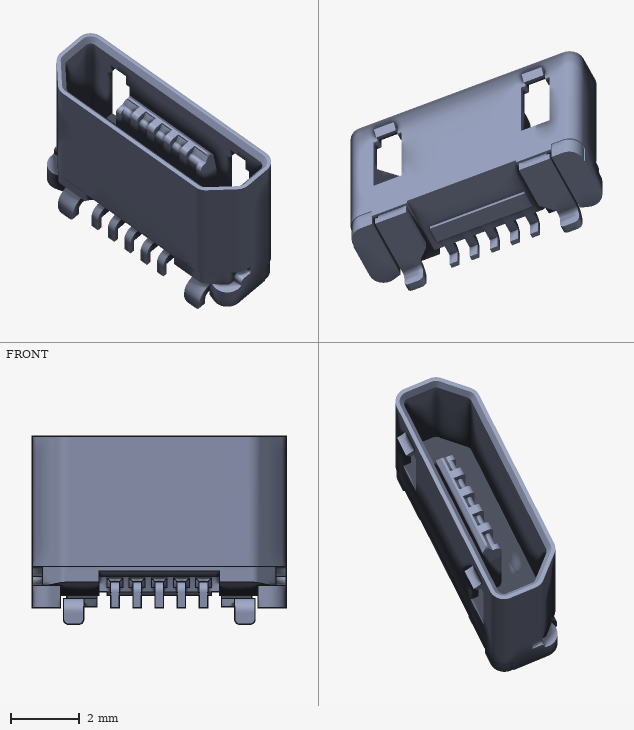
import cadquery as cq
import math


HALF_WIDTH = 3.71
DEPTH = 2.345
SHELL_TOP = 5.01
SHELL_CHAMFER = 0.905
CORNER_RADIUS = 0.445
WALL = 0.25
MOUTH_WIDENING = 0.13
MOUTH_HEIGHT = 0.17
SKIRT_Z = 1.21
BASE_BOTTOM = 0.36
FLOOR_Z = 1.485

PLATFORM_HALF_WIDTH = 2.99
PLATFORM_BACK = -0.5
PLATFORM_DEPTH = 1.1
PLATFORM_CHAMFER = 0.52
PLATFORM_CORNER = 0.185
PLATFORM_HEIGHT = 0.075

CORE_HALF_WIDTH = 3.405
CORE_INSET = 0.03
CORE_CHAMFER = 0.585
CORE_FRONT_RADIUS = 0.22
CORE_SIDE_RADIUS = 0.13
UNDERCUT_TOP = 0.75
UNDERCUT_SLOPE = 12.0
NOTCH_BACK = -1.14
NOTCH_STEP_Y = -1.55
NOTCH_STEP_Z = 0.92
NOTCH_BACK_RADIUS = 0.075
NOTCH_STEP_RADIUS = 0.13
NOTCH_FOOT_RADIUS = 0.05
CHEEK_BACK = -0.59
CHEEK_FRONT = -1.67

FOOT_HEIGHT = 0.65
FOOT_INNER_X = 2.88
FOOT_FRONT_INNER = -2.02
FOOT_FRONT_OUTER = -2.28
FOOT_BACK = -0.02
FOOT_RELIEF_HEIGHT = 0.62
FOOT_RELIEF_FRONT = -0.54
FOOT_RELIEF_ROUND = 0.09

CONTACT_COUNT = 5
CONTACT_PITCH = 0.645
CONTACT_XS = [(i - (CONTACT_COUNT - 1) / 2) * CONTACT_PITCH for i in range(CONTACT_COUNT)]
CONTACT_WIDTH = 0.25
CONTACT_FRONT = -2.42
CONTACT_THICKNESS = 0.15
CONTACT_BEND = 0.305
CONTACT_UNDERSIDE = 0.45
CONTACT_TAIL_Y = -1.63
RECESS_HALF_WIDTH = 1.75
RECESS_TOP = 1.08
RECESS_FACE = -1.94
RECESS_CEILING_BACK_Z = 0.91
RECESS_BOTTOM = 0.47
ROOT_WIDTH = 0.46
ROOT_TOP = 0.87
ROOT_BOTTOM = 0.6
TAIL_BAR_HALF_WIDTH = 1.52
TAIL_BAR_FRONT = -1.63
TAIL_BAR_BACK = -1.11

LEG_OUTER_X = 2.8
LEG_WIDTH = 0.6
LEG_FRONT = -2.37
LEG_BEND_Z = -0.14
LEG_OUTER_BEND = 0.42
LEG_TIP_Z = -0.48
LEG_TIP_RADIUS = 0.16
PLATE_INNER_X = 1.81
PLATE_FRONT = -1.86
PLATE_BACK = -0.075
SUPPORT_FRONT = -0.48
PLATE_SUPPORT_OUTER_X = 2.7

LATCH_X = 2.37
LATCH_WIDTH = 0.63
LATCH_ROOT_Z = 4.42
LATCH_TIP = (0.26, 4.275)
LATCH_TIP_LOWER = (0.11, 4.06)
WINDOW_WIDTH = 0.905
WINDOW_STEP_Z = 4.02
WINDOW_BOTTOM = 1.855

TONGUE_HALF_WIDTH = 1.75
TONGUE_TOP_HALF_WIDTH = 1.485
TONGUE_TOP = 4.19
TONGUE_BACK = -0.5
TONGUE_FRONT = -1.09
TONGUE_END_HEIGHT = 0.67
TONGUE_END_ROUND = 0.15
TONGUE_BACK_CHAMFER = 0.15
TONGUE_FRONT_ROUND = 0.16
TONGUE_FRONT_CHAMFER = 0.08
GROOVE_WIDTH = 0.4
GROOVE_BACK = -0.71
TIP_BACK = -0.83
TIP_FRONT = -1.0
GROOVE_STEP = 0.06
TIP_DROP = 0.22
TIP_ROUND = 0.15


def box(x_range, y_range, z_range):
    """Box spanning the given ranges."""
    (x0, x1), (y0, y1), (z0, z1) = x_range, y_range, z_range
    return cq.Workplane("XY").box(x1 - x0, y1 - y0, z1 - z0, centered=False).translate((x0, y0, z0))


def prism_x(profile, x0, x1):
    """Extrude a closed (y, z) polygon from x0 to x1."""
    return cq.Workplane("YZ", origin=(x0, 0, 0)).polyline(profile).close().extrude(x1 - x0)


def both_sides(solid):
    """The solid together with its mirror image across X = 0."""
    return solid.union(solid.mirror("YZ"))


def d_outline(half_width, back, depth, chamfer, front_radius, side_radius, z0, z1):
    """Prism with a D-shaped outline: a rectangle whose two front corners are cut at 45 degrees."""
    front = back - depth
    points = [
        (-half_width, back),
        (half_width, back),
        (half_width, front + chamfer),
        (half_width - chamfer, front),
        (chamfer - half_width, front),
        (-half_width, front + chamfer),
    ]
    prism = cq.Workplane("XY", origin=(0, 0, z0)).polyline(points).close().extrude(z1 - z0)
    prism = prism.edges("|Z and (>X or <X)").fillet(side_radius)
    return prism.edges("|Z and <Y").fillet(front_radius)


def shell_offset(inset, z0, z1):
    """Prism with the shell outline moved inward by the inset."""
    chamfer = SHELL_CHAMFER - inset * (2 - math.sqrt(2))
    radius = CORNER_RADIUS - inset
    return d_outline(HALF_WIDTH - inset, -inset, DEPTH - 2 * inset, chamfer, radius, radius, z0, z1)


def make_shell():
    """D-shaped shell with a cavity, a widened mouth and a platform on the cavity floor."""
    shell = shell_offset(0, SKIRT_Z, SHELL_TOP)
    cavity = shell_offset(WALL, FLOOR_Z, SHELL_TOP)
    mouth_bottom = SHELL_TOP - MOUTH_HEIGHT
    lower = shell_offset(WALL, mouth_bottom, SHELL_TOP).faces("<Z").wires().val()
    upper = shell_offset(WALL - MOUTH_WIDENING, mouth_bottom, SHELL_TOP).faces(">Z").wires().val()
    mouth = cq.Workplane(cq.Solid.makeLoft([lower, upper], True))
    platform = d_outline(
        PLATFORM_HALF_WIDTH, PLATFORM_BACK, PLATFORM_DEPTH, PLATFORM_CHAMFER,
        PLATFORM_CORNER, PLATFORM_CORNER, FLOOR_Z, FLOOR_Z + PLATFORM_HEIGHT,
    )
    return shell.cut(cavity).cut(mouth).union(platform)


def make_cheek():
    """Side wall between a foot and the shell, with a rounded stepped notch at its front."""
    cheek = box((CORE_HALF_WIDTH, HALF_WIDTH), (CHEEK_FRONT, CHEEK_BACK), (BASE_BOTTOM, SKIRT_Z))
    profile = [
        (NOTCH_BACK, SKIRT_Z),
        (NOTCH_BACK, NOTCH_STEP_Z),
        (NOTCH_STEP_Y, NOTCH_STEP_Z),
        (NOTCH_STEP_Y, FOOT_HEIGHT),
        (CHEEK_FRONT, FOOT_HEIGHT),
        (CHEEK_FRONT, SKIRT_Z),
    ]
    notch = prism_x(profile, CORE_HALF_WIDTH, HALF_WIDTH)
    middle_x = (CORE_HALF_WIDTH + HALF_WIDTH) / 2
    corners = [
        (NOTCH_BACK, SKIRT_Z, NOTCH_BACK_RADIUS),
        (NOTCH_BACK, NOTCH_STEP_Z, NOTCH_BACK_RADIUS),
        (NOTCH_STEP_Y, NOTCH_STEP_Z, NOTCH_STEP_RADIUS),
        (NOTCH_STEP_Y, FOOT_HEIGHT, NOTCH_FOOT_RADIUS),
    ]
    for y, z, radius in corners:
        corner = cq.selectors.NearestToPointSelector((middle_x, y, z))
        notch = notch.edges("|X").edges(corner).fillet(radius)
    return cheek.cut(notch)


def make_base():
    """Moulded base with the side cheeks, sloped underside and the contact recess."""
    core_depth = DEPTH - 2 * CORE_INSET
    base = d_outline(
        CORE_HALF_WIDTH, -CORE_INSET, core_depth, CORE_CHAMFER,
        CORE_FRONT_RADIUS, CORE_SIDE_RADIUS, BASE_BOTTOM, SKIRT_Z,
    )
    skirt_back = box((-HALF_WIDTH, HALF_WIDTH), (CHEEK_BACK, 0), (BASE_BOTTOM, SKIRT_Z))
    base = base.union(shell_offset(0, BASE_BOTTOM, SKIRT_Z).intersect(skirt_back))
    base = base.union(both_sides(make_cheek()))

    core_front = CORE_INSET - DEPTH
    rise = UNDERCUT_TOP - BASE_BOTTOM
    undercut = [
        (core_front, UNDERCUT_TOP),
        (core_front, BASE_BOTTOM),
        (core_front + rise / math.tan(math.radians(UNDERCUT_SLOPE)), BASE_BOTTOM),
    ]
    recess = [
        (core_front, RECESS_TOP),
        (RECESS_FACE, RECESS_CEILING_BACK_Z),
        (RECESS_FACE, RECESS_BOTTOM),
        (0, RECESS_BOTTOM),
        (0, BASE_BOTTOM),
        (core_front, BASE_BOTTOM),
    ]
    base = base.cut(both_sides(prism_x(undercut, RECESS_HALF_WIDTH, CORE_HALF_WIDTH)))
    return base.cut(prism_x(recess, -RECESS_HALF_WIDTH, RECESS_HALF_WIDTH))


def make_foot():
    """Foot at the +X side with rounded outer corners."""
    outline = [
        (FOOT_INNER_X, FOOT_BACK),
        (HALF_WIDTH, FOOT_BACK),
        (HALF_WIDTH, FOOT_FRONT_OUTER),
        (FOOT_INNER_X, FOOT_FRONT_INNER),
    ]
    foot = cq.Workplane("XY").polyline(outline).close().extrude(FOOT_HEIGHT)
    return foot.edges("|Z and >X").fillet(CORNER_RADIUS)


def make_foot_relief():
    """Back corner of the skirt that is cleared around a foot."""
    block = box((FOOT_INNER_X, HALF_WIDTH), (FOOT_RELIEF_FRONT, 0), (0, FOOT_RELIEF_HEIGHT))
    block = block.edges("|X and >Z and <Y").fillet(FOOT_RELIEF_ROUND)
    return block.cut(make_foot().translate((FOOT_BACK, 0, 0)))


def make_contact(x):
    """Bent contact with a flared root on the recess face."""
    bend_y = CONTACT_FRONT + CONTACT_BEND
    contact = (
        cq.Workplane("YZ", origin=(x - CONTACT_WIDTH / 2, 0, 0))
        .moveTo(CONTACT_FRONT, 0)
        .lineTo(CONTACT_FRONT, CONTACT_UNDERSIDE)
        .radiusArc((bend_y, CONTACT_UNDERSIDE + CONTACT_BEND), CONTACT_BEND)
        .lineTo(CONTACT_TAIL_Y, CONTACT_UNDERSIDE + CONTACT_BEND)
        .lineTo(CONTACT_TAIL_Y, CONTACT_UNDERSIDE)
        .lineTo(CONTACT_FRONT + CONTACT_THICKNESS, CONTACT_UNDERSIDE)
        .lineTo(CONTACT_FRONT + CONTACT_THICKNESS, 0)
        .close()
        .extrude(CONTACT_WIDTH)
    )
    flare = (ROOT_WIDTH - CONTACT_WIDTH) / 2
    root = box(
        (x - ROOT_WIDTH / 2, x + ROOT_WIDTH / 2),
        (RECESS_FACE - flare, CONTACT_TAIL_Y),
        (ROOT_BOTTOM, ROOT_TOP),
    )
    root = root.faces("<Y").edges("|Z or >Z").chamfer(flare)
    return contact.union(root)


def make_leg():
    """Bent solder leg and the plate it grows from, on the +X side."""
    bend_y = LEG_FRONT + LEG_OUTER_BEND
    plate_top = LEG_BEND_Z + LEG_OUTER_BEND
    inner_bend = LEG_OUTER_BEND - WALL
    leg = (
        cq.Workplane("YZ", origin=(LEG_OUTER_X - LEG_WIDTH, 0, 0))
        .moveTo(LEG_FRONT, LEG_TIP_Z)
        .lineTo(LEG_FRONT, LEG_BEND_Z)
        .radiusArc((bend_y, plate_top), LEG_OUTER_BEND)
        .lineTo(bend_y, plate_top - WALL)
        .radiusArc((LEG_FRONT + WALL, LEG_BEND_Z), -inner_bend)
        .lineTo(LEG_FRONT + WALL, LEG_TIP_Z)
        .close()
        .extrude(LEG_WIDTH)
    )
    leg = leg.edges("|Y and <Z").fillet(LEG_TIP_RADIUS)
    leg_inner_x = LEG_OUTER_X - LEG_WIDTH
    shoulder = leg_inner_x - PLATE_INNER_X
    plate_outline = [
        (LEG_OUTER_X, bend_y),
        (leg_inner_x, bend_y),
        (leg_inner_x, PLATE_FRONT),
        (PLATE_INNER_X, PLATE_FRONT + shoulder),
        (PLATE_INNER_X, PLATE_BACK),
        (LEG_OUTER_X, PLATE_BACK),
    ]
    plate = (
        cq.Workplane("XY", origin=(0, 0, plate_top - WALL)).polyline(plate_outline).close().extrude(WALL)
    )
    gap = BASE_BOTTOM - plate_top
    support_profile = [
        (SUPPORT_FRONT, plate_top),
        (SUPPORT_FRONT + gap, BASE_BOTTOM),
        (PLATE_BACK, BASE_BOTTOM),
        (PLATE_BACK, plate_top),
    ]
    support = prism_x(support_profile, PLATE_INNER_X, PLATE_SUPPORT_OUTER_X)
    return leg.union(plate).union(support)


def make_window():
    """Stepped window in the back wall, narrow beside the latch and wider below it."""
    narrow = box(
        (LATCH_X - LATCH_WIDTH / 2, LATCH_X + LATCH_WIDTH / 2), (-WALL, 0), (WINDOW_BOTTOM, LATCH_ROOT_Z)
    )
    wide = box(
        (LATCH_X - WINDOW_WIDTH / 2, LATCH_X + WINDOW_WIDTH / 2), (-WALL, 0), (WINDOW_BOTTOM, WINDOW_STEP_Z)
    )
    return narrow.union(wide)


def make_latch():
    """Spring strip bent outward from the top of a window."""
    return (
        cq.Workplane("YZ", origin=(LATCH_X - LATCH_WIDTH / 2, 0, 0))
        .moveTo(-WALL, LATCH_ROOT_Z)
        .lineTo(0, LATCH_ROOT_Z)
        .radiusArc(LATCH_TIP, -LATCH_WIDTH)
        .lineTo(*LATCH_TIP_LOWER)
        .radiusArc((-WALL, LATCH_ROOT_Z), LATCH_WIDTH)
        .close()
        .extrude(LATCH_WIDTH)
    )


def cut_front_round(solid, top, x0, x1):
    """Round the front top edge of the tongue between x0 and x1, for a top surface at height top."""
    corner = (
        cq.Workplane("YZ", origin=(x0, 0, 0))
        .moveTo(TONGUE_FRONT, top)
        .lineTo(TONGUE_FRONT, top - TONGUE_FRONT_ROUND)
        .radiusArc((TONGUE_FRONT + TONGUE_FRONT_ROUND, top), TONGUE_FRONT_ROUND)
        .close()
        .extrude(x1 - x0)
    )
    return solid.cut(corner)


def make_tongue_blank():
    """Tongue without contact grooves: tapered ends and a chamfered back edge."""
    blank = box(
        (-TONGUE_HALF_WIDTH, TONGUE_HALF_WIDTH), (TONGUE_FRONT, TONGUE_BACK), (FLOOR_Z, TONGUE_TOP)
    )
    blank = blank.faces("<Y").edges("|Z").chamfer(TONGUE_FRONT_CHAMFER)
    round_end = (TONGUE_TOP_HALF_WIDTH + TONGUE_END_ROUND, TONGUE_TOP - TONGUE_END_ROUND)
    end_cut = (
        cq.Workplane("XZ")
        .moveTo(TONGUE_HALF_WIDTH, TONGUE_TOP - TONGUE_END_HEIGHT)
        .lineTo(TONGUE_HALF_WIDTH, TONGUE_TOP)
        .lineTo(TONGUE_TOP_HALF_WIDTH, TONGUE_TOP)
        .radiusArc(round_end, TONGUE_END_ROUND)
        .close()
        .extrude(-TONGUE_FRONT)
    )
    back_profile = [
        (TONGUE_BACK, TONGUE_TOP),
        (TONGUE_BACK - TONGUE_BACK_CHAMFER, TONGUE_TOP),
        (TONGUE_BACK, TONGUE_TOP - TONGUE_BACK_CHAMFER),
    ]
    back_cut = prism_x(back_profile, -TONGUE_HALF_WIDTH, TONGUE_HALF_WIDTH)
    return blank.cut(both_sides(end_cut)).cut(back_cut)


def make_tongue():
    """Tongue with a contact tip in each groove, ribs between them and lower prongs at the ends."""
    tip_top = TONGUE_TOP - TIP_DROP
    groove_profile = [
        (GROOVE_BACK, TONGUE_TOP),
        (GROOVE_BACK, TONGUE_TOP - GROOVE_STEP),
        (TIP_BACK, tip_top),
        (TONGUE_FRONT, tip_top),
        (TONGUE_FRONT, TONGUE_TOP),
    ]
    ribs_end = CONTACT_XS[-1] + GROOVE_WIDTH / 2
    prong_cut = prism_x(groove_profile, ribs_end, TONGUE_HALF_WIDTH)
    tongue = make_tongue_blank().cut(both_sides(prong_cut))
    tongue = cut_front_round(tongue, TONGUE_TOP, -ribs_end, ribs_end)
    tongue = cut_front_round(tongue, tip_top, ribs_end, TONGUE_HALF_WIDTH)
    tongue = cut_front_round(tongue, tip_top, -TONGUE_HALF_WIDTH, -ribs_end)
    for x in CONTACT_XS:
        left = x - GROOVE_WIDTH / 2
        right = x + GROOVE_WIDTH / 2
        tongue = tongue.cut(prism_x(groove_profile, left, right))
        tongue = tongue.cut(box((left, right), (TONGUE_FRONT, TIP_BACK), (FLOOR_Z, tip_top)))
        tip = box((left, right), (TIP_FRONT, TIP_BACK), (FLOOR_Z, tip_top))
        tongue = tongue.union(tip.edges("|X and >Z and <Y").fillet(TIP_ROUND))
    return tongue


def make_tail_bar():
    """Bar across the channel underneath the base, behind the contacts."""
    return box(
        (-TAIL_BAR_HALF_WIDTH, TAIL_BAR_HALF_WIDTH),
        (TAIL_BAR_FRONT, TAIL_BAR_BACK),
        (BASE_BOTTOM, RECESS_BOTTOM),
    )


relief = make_foot_relief()
result = make_shell().cut(both_sides(make_window())).union(make_base()).cut(both_sides(relief))
result = result.union(both_sides(make_foot().cut(relief)))
result = result.union(both_sides(make_leg()))
result = result.union(both_sides(make_latch()))
result = result.union(make_tail_bar())
result = result.union(make_tongue())
for contact_x in CONTACT_XS:
    result = result.union(make_contact(contact_x))